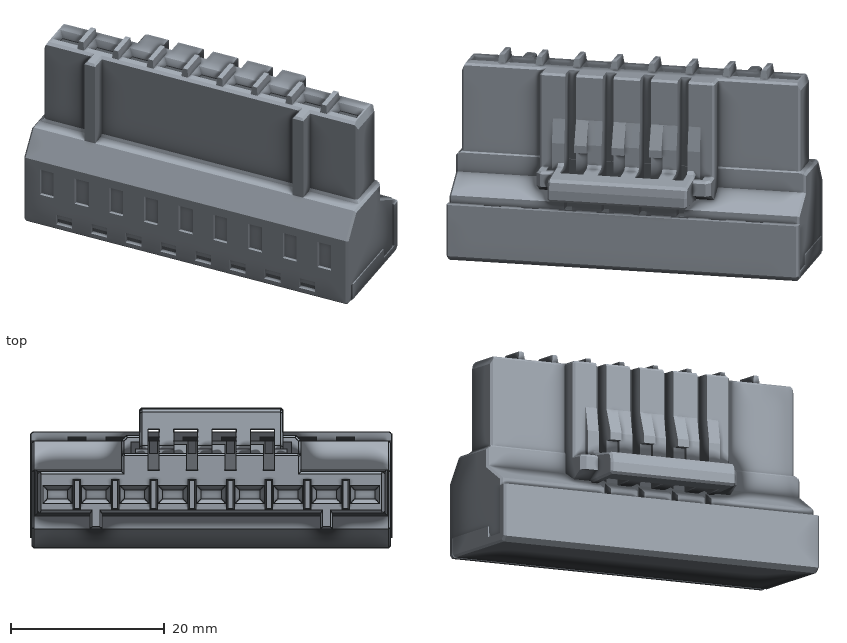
import cadquery as cq

contacts = 9
row_length = 40.0
pitch = row_length / (contacts - 1)
contact_xs = [(i - (contacts - 1) / 2) * pitch for i in range(contacts)]
between_xs = [x + pitch / 2 for x in contact_xs[:-1]]

edge_bevel = 0.3

length = 47.0
cover_proud = 0.15
body_length = length - 2 * cover_proud
shoulder_z = 9.95
deck_z = 13.2
deck_front = 2.5
deck_back = 10.1
slope_top_z = 10.75
slope_low_z = 8.55
body_back = 13.9

cover_front = 1.35
cover_gap = 0.38
cover_lip_top = 2.6
cover_floor = 1.18
cover_step = 10.65
cover_back = 15.1
cover_top = 7.55
cover_corner = 0.65
cover_notch_width = 2.35
cover_notch_depth = 0.5
relief_size = 0.55
relief_sink = 0.38

block_length = 45.2
block_front = 4.5
block_back = 9.9
block_top = 25.4
end_bevel_width = 0.45
end_bevel_height = 1.0
front_bevel = 0.4
skirt = 0.35
rib_width = 1.55
rib_xs = (contact_xs[1], contact_xs[-2])

mouth_length = 3.8
mouth_width = 2.35
mouth_y = 6.95
throat_length = 2.65
throat_width = 1.15
mouth_depth = 0.75
throat_depth = 0.15

tooth_front = 5.0
tooth_back = 8.95
tooth_width = 1.0
tooth_top_width = 0.65
tooth_end_slope = 0.15
part_top = 26.55

tower_width = 23.3
tower_back = 12.3
arm_back = 14.6
arm_top = 12.65
arm_bottom = 10.65
arm_heel = 14.0
arm_root_z = 9.65
arm_corner = 0.6
handle_width = 18.6
part_back = 18.25
handle_root_z = 13.55
handle_neck_y = 13.3
handle_neck_z = 13.1
tip_top_y = 17.65
tip_top_z = 12.65
tip_edge_y = 18.05
tip_edge_z = 12.25
tip_high_z = 11.25
tip_low_z = 10.0
tip_under_y = 17.95
tip_under_z = 9.7
plate_width = 19.75
plate_back = 12.9
hook_top = 19.35
hook_back = 13.45
hook_tip_z = 16.15
hook_bottom = 15.2
hook_width = 1.65
slot_width = 1.45
slot_front = 10.05
slot_xs = between_xs[2:6]
window_back = 15.4
lever_bottom = 9.35
recess_half_width = 10.45
recess_back = 13.75
recess_depth = 1.9
well_width = 1.05
well_back = 14.05

test_slot_width = 1.97
test_slot_height = 3.9
test_slot_z = 6.75
test_slot_depth = 0.25
test_slot_taper = 0.15
latch_window_width = 2.3
window_bottom = 0.85
window_step = 1.65
window_top = 2.35
sill_depth = 0.6
window_depth = 0.2


def box(x0, x1, y0, y1, z0, z1):
    """Box between opposite corners."""
    return cq.Workplane("XY").box(x1 - x0, y1 - y0, z1 - z0, centered=False).translate((x0, y0, z0))


def prism(points, width, x=0):
    """Extrude a (Y, Z) outline along X, centred on x."""
    return cq.Workplane("YZ").polyline(points).close().extrude(width / 2, both=True).translate((x, 0, 0))


def frustum(length_0, width_0, length_1, width_1, height):
    """Rectangular frustum rising from Z = 0."""
    return (
        cq.Workplane("XY").rect(length_0, width_0)
        .workplane(offset=height).rect(length_1, width_1).loft(ruled=True)
    )


def make_body():
    """Lower body, open underneath where the cover fits."""
    gap_front = cover_front - cover_gap
    outer = [
        (edge_bevel, 0), (body_back, 0), (body_back, slope_low_z), (deck_back, slope_top_z),
        (deck_back, deck_z), (deck_front, deck_z), (0, shoulder_z), (0, edge_bevel),
    ]
    body = prism(outer, body_length).faces("<X or >X").edges().chamfer(edge_bevel)
    cover_seat = [
        (gap_front, 0), (gap_front, cover_lip_top), (cover_step, cover_lip_top),
        (cover_step, cover_floor), (body_back, cover_floor), (body_back, 0),
    ]
    return body.cut(prism(cover_seat, length))


def make_corner_reliefs(side):
    """Small triangular recesses at the lower corners of the body's foot, on one end."""
    reliefs = cq.Workplane("YZ")
    for corner_y, inward in ((body_back, -1), (cover_step, 1)):
        reliefs = (
            reliefs.moveTo(corner_y, cover_floor)
            .lineTo(corner_y + inward * relief_size, cover_floor)
            .lineTo(corner_y, cover_floor + relief_size).close()
        )
    return reliefs.extrude(relief_sink, both=True).translate((side * body_length / 2, 0, 0))


def make_cover():
    """L-shaped cover under and behind the body, joined to the front wall inside the groove."""
    outline = [
        (cover_front, 0), (cover_back - cover_corner, 0), (cover_back, cover_corner),
        (cover_back, cover_top), (cover_front, cover_top),
    ]
    cover = prism(outline, length).faces("<X or >X").edges("not (<Y or >Z)").chamfer(edge_bevel)
    inside = [
        (cover_front, cover_top), (body_back, cover_top), (body_back, cover_floor),
        (cover_step, cover_floor), (cover_step, cover_lip_top), (cover_front, cover_lip_top),
    ]
    cover = cover.cut(prism(inside, length))
    notch = [
        (body_back, cover_top), (body_back + cover_notch_depth, cover_top),
        (body_back, cover_top - 2 * cover_notch_depth),
    ]
    for x in between_xs:
        cover = cover.cut(prism(notch, cover_notch_width, x))
    half = body_length / 2 - cover_gap
    return cover.union(box(-half, half, cover_front - cover_gap, cover_front, edge_bevel, cover_lip_top))


def make_block():
    """Upper block with its flared foot, two front ribs and the bevels round its top."""
    half = block_length / 2
    block = box(-half, half, block_front, block_back, deck_z, block_top).edges("|Z").chamfer(edge_bevel)
    end_outline = [
        (-half, deck_z), (half, deck_z), (half, block_top - end_bevel_height),
        (half - end_bevel_width, block_top), (end_bevel_width - half, block_top),
        (-half, block_top - end_bevel_height),
    ]
    end_trim = cq.Workplane("XZ").polyline(end_outline).close().extrude(-part_back)
    side_outline = [
        (block_front, deck_z), (block_back, deck_z), (block_back, block_top - edge_bevel),
        (block_back - edge_bevel, block_top), (block_front + front_bevel, block_top),
        (block_front, block_top - edge_bevel),
    ]
    block = block.intersect(end_trim).intersect(prism(side_outline, length))
    foot = frustum(
        block_length + 2 * skirt, block_back - block_front + 2 * skirt,
        block_length, block_back - block_front, skirt,
    )
    foot = foot.translate((0, (block_front + block_back) / 2, deck_z))
    block = block.union(foot.intersect(box(-length, length, 0, deck_back, deck_z, block_top)))
    for x in rib_xs:
        left = x - rib_width / 2
        rib = box(left, left + rib_width, deck_front, block_front + front_bevel, deck_z, block_top)
        rib = rib.edges(">Z and (<X or >X or <Y)").chamfer(edge_bevel)
        block = block.union(rib)
    return block


def make_wire_hole(x):
    """Tapered mouth leading into a straight throat."""
    mouth = frustum(throat_length, throat_width, mouth_length, mouth_width, mouth_depth)
    throat = cq.Workplane("XY").rect(throat_length, throat_width).extrude(-throat_depth)
    return mouth.union(throat).translate((x, mouth_y, block_top - mouth_depth))


def make_tooth(x):
    """Tapered divider standing on the block between two wire holes."""
    depth = tooth_back - tooth_front
    tooth = frustum(
        tooth_width, depth, tooth_top_width, depth - 2 * tooth_end_slope, part_top - block_top
    )
    return tooth.translate((x, (tooth_front + tooth_back) / 2, block_top))


def make_tower():
    """Tower behind the block, its arm, and the recesses beside the lever plate."""
    tower = box(-tower_width / 2, tower_width / 2, mouth_y, tower_back, slope_top_z, block_top)
    tower = tower.edges(">Y and |Z").chamfer(edge_bevel)
    tower = tower.edges(">Z and (not <Y)").chamfer(edge_bevel)
    arm_outline = [
        (deck_back, deck_z - edge_bevel), (arm_back, arm_top), (arm_back, arm_bottom),
        (arm_heel, arm_bottom), (tower_back, arm_root_z), (deck_back, slope_top_z),
    ]
    arm = prism(arm_outline, tower_width)
    arm = arm.edges("|Z and >Y").chamfer(arm_corner)
    arm = arm.faces(">Z").edges("not <Y").chamfer(edge_bevel)
    for side in (-1, 1):
        x0, x1 = sorted((side * handle_width / 2, side * recess_half_width))
        arm = arm.cut(box(x0, x1, tower_back, recess_back, arm_top - recess_depth, deck_z))
    return tower.union(arm)


def make_lever():
    """Finger handle and the plate that rises from it against the tower."""
    handle_outline = [
        (tower_back, handle_root_z), (plate_back, handle_root_z),
        (handle_neck_y, handle_neck_z), (tip_top_y, tip_top_z), (tip_edge_y, tip_edge_z),
        (part_back, tip_high_z), (part_back, tip_low_z), (tip_under_y, tip_under_z),
        (tower_back, lever_bottom),
    ]
    handle = prism(handle_outline, handle_width).faces("<X or >X").edges().chamfer(edge_bevel)
    plate_outline = [
        (tower_back, arm_bottom), (plate_back, arm_bottom), (plate_back, hook_tip_z), (tower_back, hook_top),
    ]
    return handle.union(prism(plate_outline, plate_width))


def make_hook(x):
    """Latch hook on the back of the tower."""
    outline = [
        (tower_back, hook_bottom), (hook_back, hook_bottom), (hook_back, hook_tip_z), (tower_back, hook_top),
    ]
    return prism(outline, hook_width, x)


def make_back():
    """Tower and lever, slotted behind the four middle teeth, with hooks beside all but the first slot."""
    back = make_tower().union(make_lever())
    hook_offset = (slot_width + hook_width) / 2
    for i, x in enumerate(slot_xs):
        right = x + slot_width / 2
        left = x - slot_width / 2
        back = back.cut(box(left, right, slot_front, window_back, 0, block_top))
        if i > 0:
            back = back.cut(box(left - hook_width, right, tower_back, window_back, 0, block_top))
            back = back.union(make_hook(x - hook_offset))
    return back


def make_test_slot(x):
    """Shallow tapered recess in the front face."""
    slot = frustum(
        test_slot_width, test_slot_height, test_slot_width - 2 * test_slot_taper,
        test_slot_height - 2 * test_slot_taper, test_slot_depth,
    )
    return slot.rotate((0, 0, 0), (1, 0, 0), -90).translate((x, 0, test_slot_z))


def make_latch_window(x):
    """Small front opening, deeper in its lower half."""
    outline = [
        (0, window_bottom), (sill_depth, window_bottom), (sill_depth, window_step),
        (window_depth, window_step), (window_depth, window_top), (0, window_top),
    ]
    return prism(outline, latch_window_width, x)


body = make_body().union(make_cover()).union(make_block())
for x in contact_xs:
    body = body.cut(make_test_slot(x))
for x in between_xs:
    body = body.cut(make_latch_window(x)).union(make_tooth(x))
for side in (-1, 1):
    body = body.cut(make_corner_reliefs(side))
for x in slot_xs:
    left = x - well_width / 2
    body = body.cut(box(left, left + well_width, tower_back, well_back, cover_top, slope_top_z))

result = body.union(make_back())
for x in contact_xs:
    result = result.cut(make_wire_hole(x))